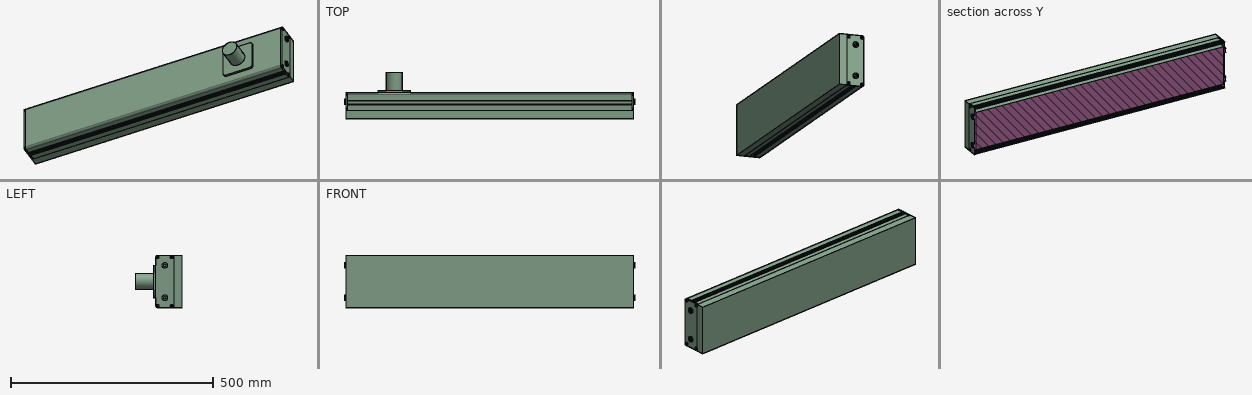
import cadquery as cq
import math

length = 712.0
height = 130.0
panel_depth = 20.0
body_back = 65.0
total_depth = 115.0
body_depth = body_back - panel_depth
corner_radius = 5.0

cap_thickness = 4.0
profile_length = length - 2 * cap_thickness
corner_hole_inset = 5.0
corner_hole_diameter = 3.5
corner_bore_diameter = 7.0
corner_bore_depth = 3.0

head_diameter = 14.0
head_height = 3.0
head_spacing = 80.0
head_y = 42.5
socket_across_flats = 6.0
socket_corner_radius = socket_across_flats / 2 / math.cos(math.pi / 6)
socket_depth = 4.0

slot_y = 40.0
slot_mouth_width = 11.0
slot_mouth_depth = 1.5
slot_width = 7.0
slot_cavity_width = 20.0
slot_lip_depth = 4.5
slot_depth = 12.0

connector_x = -length / 2 + 120.0
flange_size = 80.0
flange_thickness = 5.0
flange_corner_radius = 7.0
tube_diameter = 40.0
tube_length = total_depth - body_back - flange_thickness


def body_section(x_start, thickness):
    """Slab of the housing cross-section, with its two back edges rounded."""
    slab = cq.Workplane("XY").box(thickness, body_depth, height, centered=(False, False, True))
    slab = slab.edges("|X and >Y").fillet(corner_radius)
    return slab.translate((x_start, panel_depth, 0))


def make_front_panel():
    return cq.Workplane("XY").box(length, panel_depth, height, centered=(True, False, True))


def make_slot(side):
    """T-slot cutter open on the top (side = 1) or bottom (side = -1) face."""
    steps = (
        (slot_mouth_width, 0, slot_mouth_depth),
        (slot_width, slot_mouth_depth, slot_lip_depth),
        (slot_cavity_width, slot_lip_depth, slot_depth),
    )
    cutter = cq.Workplane("XY")
    for width, start_depth, end_depth in steps:
        middle_z = side * (height - start_depth - end_depth) / 2
        step = cq.Workplane("XY").box(profile_length, width, end_depth - start_depth)
        cutter = cutter.union(step.translate((0, slot_y, middle_z)))
    return cutter


def make_profile():
    profile = body_section(-profile_length / 2, profile_length)
    for side in (1, -1):
        profile = profile.cut(make_slot(side))
    return profile


def hexagon_socket(y, z):
    """Hexagonal cutter starting at the outer end of a left-hand head, with corners up and down."""
    angles = [side * math.pi / 3 for side in range(6)]
    corners = [
        (y + socket_corner_radius * math.sin(angle), z + socket_corner_radius * math.cos(angle))
        for angle in angles
    ]
    head_end = cq.Workplane("YZ", origin=(-length / 2 - head_height, 0, 0))
    return head_end.polyline(corners).close().extrude(socket_depth)


def make_left_cap():
    """End cap with two socket screw heads and a counterbored hole in each corner."""
    outer_face = cq.Workplane("YZ", origin=(-length / 2, 0, 0))
    head_points = [(head_y, z) for z in (-head_spacing / 2, head_spacing / 2)]
    hole_z = height / 2 - corner_hole_inset
    hole_points = [
        (y, z)
        for y in (panel_depth + corner_hole_inset, body_back - corner_hole_inset)
        for z in (-hole_z, hole_z)
    ]

    cap = body_section(-length / 2, cap_thickness)
    cap = cap.cut(outer_face.pushPoints(hole_points).circle(corner_hole_diameter / 2).extrude(cap_thickness))
    cap = cap.cut(outer_face.pushPoints(hole_points).circle(corner_bore_diameter / 2).extrude(corner_bore_depth))

    heads = outer_face.pushPoints(head_points).circle(head_diameter / 2).extrude(-head_height)
    cap = cap.union(heads)
    for y, z in head_points:
        cap = cap.cut(hexagon_socket(y, z))
    return cap


def make_hose_connector():
    flange = (
        cq.Workplane("XY")
        .box(flange_size, flange_thickness, flange_size, centered=(True, False, True))
        .edges("|Y")
        .fillet(flange_corner_radius)
    )
    tube = (
        cq.Workplane("XZ", origin=(0, flange_thickness, 0))
        .circle(tube_diameter / 2)
        .extrude(-tube_length)
    )
    return flange.union(tube).translate((connector_x, body_back, 0))


front_panel = make_front_panel()
profile = make_profile()
left_cap = make_left_cap()
right_cap = left_cap.mirror("YZ")
hose_connector = make_hose_connector()

result = cq.Compound.makeCompound(
    [front_panel.val(), profile.val(), left_cap.val(), right_cap.val(), hose_connector.val()]
)